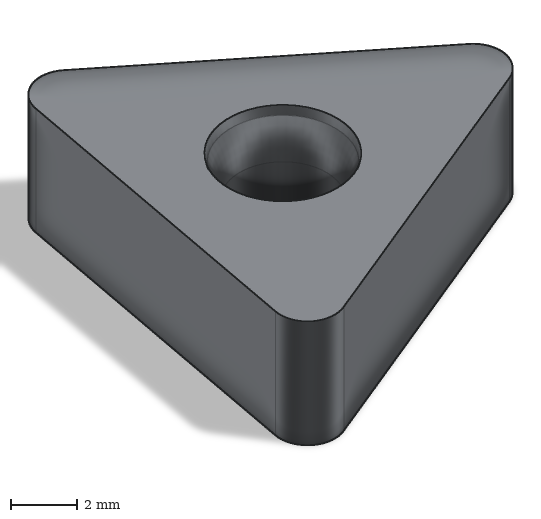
import cadquery as cq
import math

inscribed_diameter = 9.52
thickness = 4.76
corner_radius = 1.2

bore_diameter = 3.81
flare_radius = 3.0
flare_top_diameter = 4.59
mouth_diameter = 4.75
mouth_depth = 0.33


def insert_body():
    """Equilateral prism, one corner toward +Y, with rounded vertical edges."""
    corner_distance = inscribed_diameter
    corner_angles = [math.radians(angle) for angle in (90, 210, 330)]
    corners = [
        (corner_distance * math.cos(angle), corner_distance * math.sin(angle))
        for angle in corner_angles
    ]
    prism = cq.Workplane("XY").polyline(corners).close().extrude(thickness)
    return prism.edges("|Z").fillet(corner_radius)


def hole_cutter():
    """Solid of revolution about Z that removes the bore, its flare and its mouth."""
    bore_radius = bore_diameter / 2
    flare_top_radius = flare_top_diameter / 2
    mouth_radius = mouth_diameter / 2

    flare_centre_x = bore_radius + flare_radius
    flare_angle = math.acos((flare_centre_x - flare_top_radius) / flare_radius)
    flare_top = thickness - mouth_depth
    bore_top = flare_top - flare_radius * math.sin(flare_angle)
    flare_middle = (
        flare_centre_x - flare_radius * math.cos(flare_angle / 2),
        bore_top + flare_radius * math.sin(flare_angle / 2),
    )
    return (
        cq.Workplane("XZ")
        .moveTo(0, 0)
        .lineTo(bore_radius, 0)
        .lineTo(bore_radius, bore_top)
        .threePointArc(flare_middle, (flare_top_radius, flare_top))
        .lineTo(mouth_radius, thickness)
        .lineTo(0, thickness)
        .close()
        .revolve(360, (0, 0, 0), (0, 1, 0))
    )


result = insert_body().cut(hole_cutter())